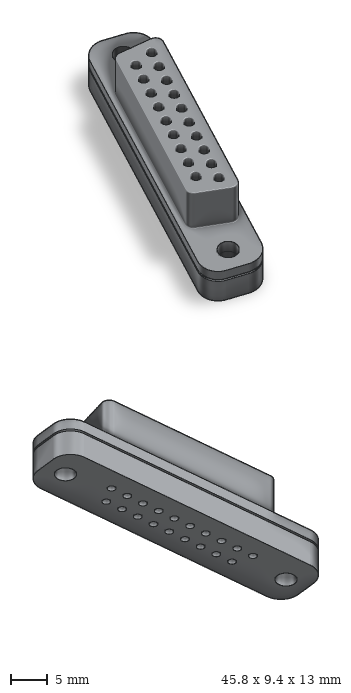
import cadquery as cq
import math

LENGTH = 45.8
WIDTH = 9.4
END_FLAT = 3.4
CORNER_RADIUS = (WIDTH - END_FLAT) / 2
MOUNT_HOLE_DIAMETER = 3.0
MOUNT_HOLE_OFFSET = 19.4

TOTAL_HEIGHT = 13.0
BASE_HEIGHT = 4.0
FLANGE_TOP = 6.0
FLANGE_BEVEL = 0.3

SHELL_WIDTH = 7.37
SHELL_MID_LENGTH = 29.05
SHELL_SIDE_ANGLE = 10.0
SHELL_CORNER_RADIUS = 1.2
SHELL_TOP_ROUND = 0.2
SHELL_FOOT_RADIUS = 0.2

HOUSING_CONTACT_DIAMETER = 1.4
BASE_CONTACT_DIAMETER = 1.2
CONTACT_MOUTH_RADIUS = 0.2
CONTACT_ROW_OFFSET = 1.4
BACK_ROW_COUNT = 10
FRONT_ROW_COUNT = BACK_ROW_COUNT - 1
BACK_ROW_SPAN = 24.9
CONTACT_PITCH = BACK_ROW_SPAN / (BACK_ROW_COUNT - 1)


def plate(bottom, height):
    """Rounded rectangular plate."""
    return (
        cq.Workplane("XY", origin=(0, 0, bottom))
        .rect(LENGTH, WIDTH)
        .extrude(height)
        .edges("|Z")
        .fillet(CORNER_RADIUS)
    )


def shell():
    """D-shaped block, wider at +Y, with a rounded top rim."""
    half_width = SHELL_WIDTH / 2
    half_mid = SHELL_MID_LENGTH / 2
    side_shift = half_width * math.tan(math.radians(SHELL_SIDE_ANGLE))
    block = (
        cq.Workplane("XY", origin=(0, 0, FLANGE_TOP))
        .polyline([
            (-half_mid + side_shift, -half_width),
            (half_mid - side_shift, -half_width),
            (half_mid + side_shift, half_width),
            (-half_mid - side_shift, half_width),
        ])
        .close()
        .extrude(TOTAL_HEIGHT - FLANGE_TOP)
        .edges("|Z")
        .fillet(SHELL_CORNER_RADIUS)
    )
    return block.faces(">Z").fillet(SHELL_TOP_ROUND)


def flange_with_shell():
    """Flange with a bevelled lower edge, and the shell blended onto its top."""
    flange = (
        plate(BASE_HEIGHT, FLANGE_TOP - BASE_HEIGHT)
        .faces("<Z")
        .edges()
        .chamfer(FLANGE_BEVEL)
    )
    half_reach = (SHELL_WIDTH + WIDTH) / 4
    foot_edges = cq.selectors.BoxSelector(
        (-MOUNT_HOLE_OFFSET, -half_reach, FLANGE_TOP - SHELL_FOOT_RADIUS),
        (MOUNT_HOLE_OFFSET, half_reach, FLANGE_TOP + SHELL_FOOT_RADIUS),
    )
    return flange.union(shell()).edges(foot_edges).fillet(SHELL_FOOT_RADIUS)


def contact_positions():
    """Centres of the contact holes, in two staggered rows."""
    rows = (
        (BACK_ROW_COUNT, CONTACT_ROW_OFFSET),
        (FRONT_ROW_COUNT, -CONTACT_ROW_OFFSET),
    )
    return [
        ((i - (count - 1) / 2) * CONTACT_PITCH, y)
        for count, y in rows
        for i in range(count)
    ]


def drill(body, contact_diameter):
    """Cut the mounting holes and the contact holes through a body."""
    mount_positions = [(-MOUNT_HOLE_OFFSET, 0), (MOUNT_HOLE_OFFSET, 0)]
    drills = (
        cq.Workplane("XY")
        .pushPoints(mount_positions)
        .circle(MOUNT_HOLE_DIAMETER / 2)
        .extrude(TOTAL_HEIGHT)
        .pushPoints(contact_positions())
        .circle(contact_diameter / 2)
        .extrude(TOTAL_HEIGHT)
    )
    return body.cut(drills)


def make_housing():
    """Flange and shell in one, with contact holes rounded at their mouths."""
    drilled = drill(flange_with_shell(), HOUSING_CONTACT_DIAMETER)
    shell_top = drilled.faces(">Z").val()
    mouths = [edge for wire in shell_top.innerWires() for edge in wire.Edges()]
    return drilled.newObject(mouths).fillet(CONTACT_MOUTH_RADIUS)


def make_base():
    """Plain plate under the housing, with narrower contact holes."""
    return drill(plate(0, BASE_HEIGHT), BASE_CONTACT_DIAMETER)


housing = make_housing()
base = make_base()

result = cq.Compound.makeCompound([housing.val(), base.val()])